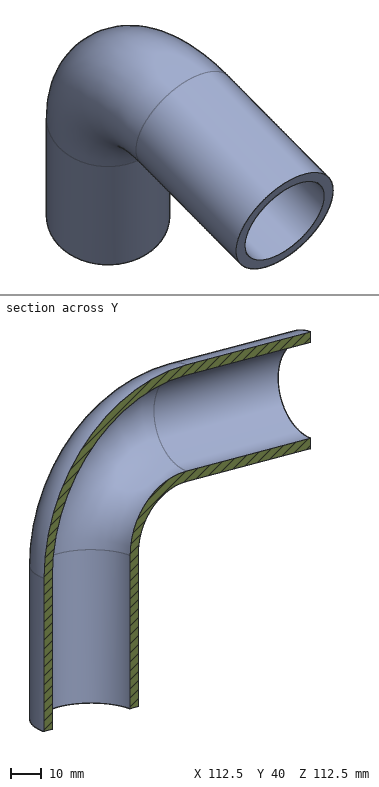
import cadquery as cq

overall_size = 112.5
outer_diameter = 40.0
bore_diameter = 32.6
bend_radius = outer_diameter

leg_length = overall_size - bend_radius - outer_diameter / 2


def elbow(diameter):
    """Solid round bar running up Z, through the bend, then along +X."""
    lower_leg = cq.Workplane("XY").circle(diameter / 2).extrude(leg_length)
    bend = (
        cq.Workplane("XY", origin=(0, 0, leg_length))
        .circle(diameter / 2)
        .revolve(90, (bend_radius, 0, 0), (bend_radius, 1, 0))
    )
    upper_leg = (
        cq.Workplane("YZ", origin=(bend_radius, 0, leg_length + bend_radius))
        .circle(diameter / 2)
        .extrude(leg_length)
    )
    return lower_leg.union(bend).union(upper_leg)


result = elbow(outer_diameter).cut(elbow(bore_diameter))